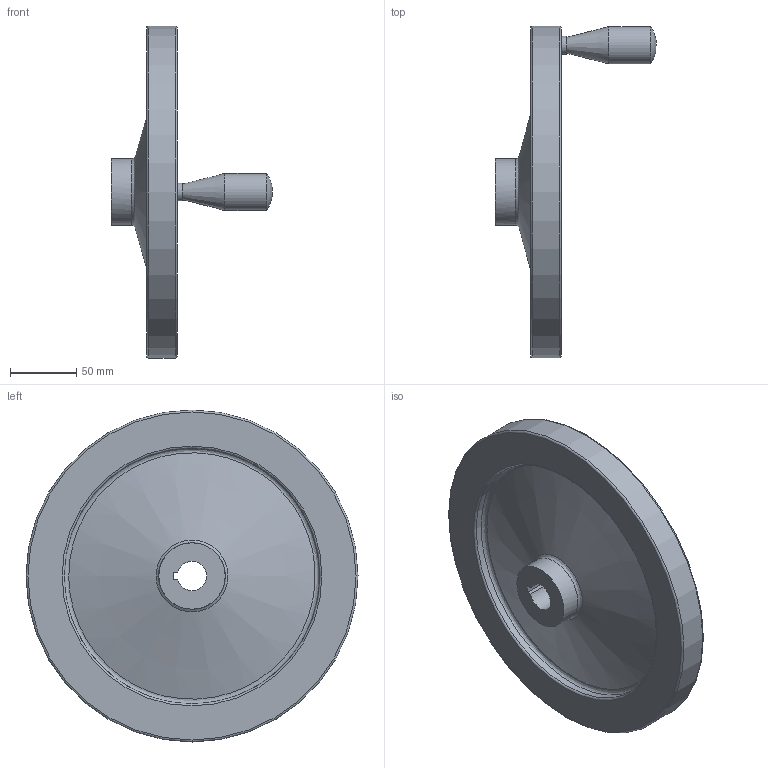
import cadquery as cq
import math

wheel_diameter = 250.0
rim_width = 23.0
rim_front_x = 26.5
rim_back_x = rim_front_x + rim_width
rim_edge_radius = 1.5

hub_diameter = 50.0
bore_diameter = 22.0
keyway_width = 6.0
keyway_reach = 13.8

dish_diameter = 192.62
root_fillet = 2.8
dish_lip_radius = 1.5
cone_slope = math.radians(15.5)
cone_start_x = 17.2
cone_rise = (dish_diameter - hub_diameter) / 2 * math.tan(cone_slope)
cone_end_x = cone_start_x + cone_rise

handle_diameter = 28.0
neck_diameter = 13.44
taper_diameter = 12.0
neck_length = 4.2
taper_length = 31.6
handle_length = 71.74
dome_height = 4.5
handle_offset = 110.5


def circles_at(body, x, diameter):
    """Circular edges about the wheel axis at the given station and diameter."""
    tolerance = 0.001
    return [
        edge
        for edge in body.edges("%CIRCLE").vals()
        if abs(edge.Center().x - x) < tolerance
        and abs(edge.radius() - diameter / 2) < tolerance
    ]


def round_circles(body, radius, places):
    """Fillet the circular edges at each (x, diameter) place."""
    edges = [edge for x, diameter in places for edge in circles_at(body, x, diameter)]
    return body.newObject(edges).fillet(radius)


def make_wheel():
    """Rim, conical dish and hub, revolved as one profile."""
    profile = [
        (0, 0),
        (0, hub_diameter / 2),
        (cone_start_x, hub_diameter / 2),
        (cone_end_x, dish_diameter / 2),
        (rim_front_x, dish_diameter / 2),
        (rim_front_x, wheel_diameter / 2),
        (rim_back_x, wheel_diameter / 2),
        (rim_back_x, 0),
    ]
    wheel = cq.Workplane("XY").polyline(profile).close().revolve(360, (0, 0), (1, 0))
    rim_edges = [(rim_front_x, wheel_diameter), (rim_back_x, wheel_diameter)]
    cone_ends = [(cone_start_x, hub_diameter), (cone_end_x, dish_diameter)]
    dish_lip = [(rim_front_x, dish_diameter)]
    wheel = round_circles(wheel, rim_edge_radius, rim_edges)
    wheel = round_circles(wheel, root_fillet, cone_ends)
    return round_circles(wheel, dish_lip_radius, dish_lip)


def make_keyed_bore():
    """Through bore with its keyway on the +Y side."""
    bore = cq.Workplane("YZ").circle(bore_diameter / 2).extrude(rim_back_x)
    keyway = (
        cq.Workplane("YZ")
        .center(keyway_reach / 2, 0)
        .rect(keyway_reach, keyway_width)
        .extrude(rim_back_x)
    )
    return bore.union(keyway)


def make_handle():
    """Neck, tapered grip and domed end, revolved about the handle axis."""
    taper_start_x = rim_back_x + neck_length
    grip_start_x = taper_start_x + taper_length
    tip_x = rim_back_x + handle_length
    dome_start_x = tip_x - dome_height
    grip_radius = handle_diameter / 2
    dome_radius = (grip_radius**2 + dome_height**2) / (2 * dome_height)
    dome_half_angle = math.asin(grip_radius / dome_radius) / 2
    dome_center_x = tip_x - dome_radius
    dome_middle = (
        dome_center_x + dome_radius * math.cos(dome_half_angle),
        dome_radius * math.sin(dome_half_angle),
    )
    handle = (
        cq.Workplane("XY")
        .moveTo(rim_back_x, 0)
        .lineTo(rim_back_x, neck_diameter / 2)
        .lineTo(taper_start_x, neck_diameter / 2)
        .lineTo(taper_start_x, taper_diameter / 2)
        .lineTo(grip_start_x, grip_radius)
        .lineTo(dome_start_x, grip_radius)
        .threePointArc(dome_middle, (tip_x, 0))
        .close()
        .revolve(360, (0, 0), (1, 0))
    )
    return handle.translate((0, handle_offset, 0))


result = make_wheel().cut(make_keyed_bore()).union(make_handle())